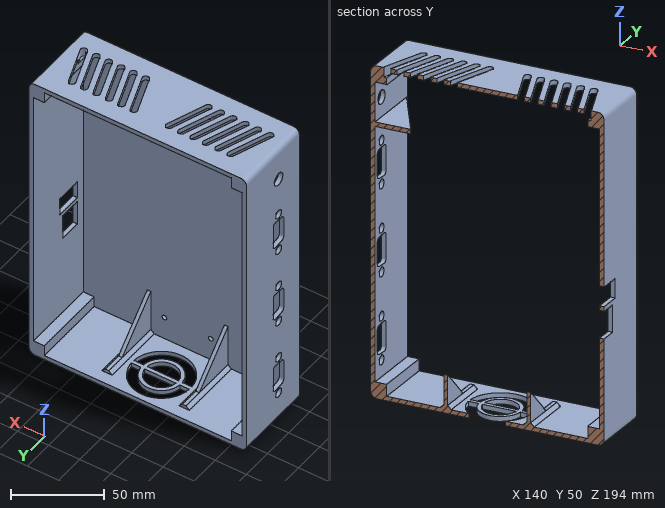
import cadquery as cq

WIDTH = 140.0
DEPTH = 50.0
HEIGHT = 194.0
WALL = 3.0
CORNER_RADIUS = 4.0
INNER_RADIUS = CORNER_RADIUS - WALL
CUT = 3 * WALL

LEFT_WALL_X = -(WIDTH - WALL) / 2
RIGHT_WALL_X = -LEFT_WALL_X
FRONT_WALL_Y = -(DEPTH - WALL) / 2
TOP_WALL_Z = (HEIGHT - WALL) / 2
BOTTOM_WALL_Z = -TOP_WALL_Z
INNER_X = WIDTH / 2 - WALL
INNER_FRONT_Y = -DEPTH / 2 + WALL
FLOOR_Z = -HEIGHT / 2 + WALL

MOUNT_HOLE_DIAMETER = 3.0
MOUNT_SPACING_X = 29.9
MOUNT_SPACING_Z = 158.3

VENT_WIDTH = 4.0
VENT_LENGTH = 29.7
VENT_TILT = 20.0
VENT_COUNT = 6
VENT_PITCH = 8.0
INNER_VENT_X = 15.7

CONNECTOR_Y = -5.2
CONNECTOR_PITCH = 51.2
MIDDLE_CONNECTOR_Z = -13.4
CONNECTOR_DEPTH = 9.9
CONNECTOR_LONG_SIDE = 18.0
CONNECTOR_SHORT_SIDE = 16.5
CONNECTOR_BACK_RADIUS = 1.7
CONNECTOR_FRONT_RADIUS = 2.5
SCREW_DIAMETER = 5.5
SCREW_SPACING = 25.5
JACK_DIAMETER = 8.0
JACK_Z = 75.7

PORT_BAR = 3.0
PORT_BAR_Z = -16.9
PORT_FRONT_Y = -16.5
UPPER_PORT_HEIGHT = 11.3
UPPER_PORT_DEPTH = 16.5
LOWER_PORT_HEIGHT = 16.0
LOWER_PORT_DEPTH = 13.5

FAN_Y = 2.5
FAN_DIAMETER = 37.2
GUARD_WIDTH = 2.5
GUARD_RING_DIAMETER = 25.2

GUSSET_X = 24.8
GUSSET_THICKNESS = 2.3
GUSSET_LEG = 27.2
FOOT_WIDTH = 6.5
FOOT_HEIGHT = (FOOT_WIDTH - GUSSET_THICKNESS) / 2
FOOT_LENGTH = 39.8

POST_INNER_X = 60.1
POST_SIZE = INNER_X - POST_INNER_X

SHELF_TOP_Z = 64.2
SHELF_THICKNESS = 3.0
SHELF_LENGTH_X = 27.0
SHELF_LENGTH_Y = 46.0


def make_shell():
    outer = cq.Workplane("XY").box(WIDTH, DEPTH, HEIGHT).edges("|Y").fillet(CORNER_RADIUS)
    cavity = (
        cq.Workplane("XY")
        .box(2 * INNER_X, DEPTH, HEIGHT - 2 * WALL)
        .edges("|Y")
        .fillet(INNER_RADIUS)
        .translate((0, WALL, 0))
    )
    return outer.cut(cavity)


def make_corner_posts():
    overlap = WALL / 2
    side = POST_SIZE + overlap
    spacing_x = 2 * POST_INNER_X + side
    spacing_z = -2 * (FLOOR_Z + POST_SIZE) + side
    return (
        cq.Workplane("XZ", origin=(0, INNER_FRONT_Y, 0))
        .rarray(spacing_x, spacing_z, 2, 2)
        .rect(side, side)
        .extrude(INNER_FRONT_Y - DEPTH / 2)
    )


def make_gusset(x):
    web = (
        cq.Workplane("YZ", origin=(x, INNER_FRONT_Y, FLOOR_Z))
        .polyline([(0, 0), (GUSSET_LEG + FOOT_HEIGHT, 0), (0, GUSSET_LEG + FOOT_HEIGHT)])
        .close()
        .extrude(GUSSET_THICKNESS / 2, both=True)
    )
    foot = (
        cq.Workplane("XZ", origin=(x, INNER_FRONT_Y, FLOOR_Z))
        .polyline(
            [
                (-FOOT_WIDTH / 2, 0),
                (FOOT_WIDTH / 2, 0),
                (GUSSET_THICKNESS / 2, FOOT_HEIGHT),
                (-GUSSET_THICKNESS / 2, FOOT_HEIGHT),
            ]
        )
        .close()
        .extrude(-FOOT_LENGTH)
    )
    return web.union(foot)


def make_shelf():
    return (
        cq.Workplane("XY", origin=(-INNER_X, INNER_FRONT_Y, SHELF_TOP_Z))
        .polyline([(0, 0), (SHELF_LENGTH_X, 0), (0, SHELF_LENGTH_Y)])
        .close()
        .extrude(-SHELF_THICKNESS)
    )


def make_mount_holes():
    return (
        cq.Workplane("XZ", origin=(0, FRONT_WALL_Y, 0))
        .rarray(MOUNT_SPACING_X, MOUNT_SPACING_Z, 2, 2)
        .circle(MOUNT_HOLE_DIAMETER / 2)
        .extrude(CUT / 2, both=True)
    )


def make_vents(side):
    """One group of vents; side is -1 for the -X group and 1 for the +X group."""
    positions = [(side * (INNER_VENT_X + i * VENT_PITCH), 0) for i in range(VENT_COUNT)]
    return (
        cq.Workplane("XY", origin=(0, 0, TOP_WALL_Z))
        .pushPoints(positions)
        .slot2D(VENT_LENGTH, VENT_WIDTH, 90 + side * VENT_TILT)
        .extrude(CUT / 2, both=True)
    )


def make_connector(z):
    """D-shaped cut-out, wider towards +Y, with a screw hole above and below."""
    half_depth = CONNECTOR_DEPTH / 2
    half_long = CONNECTOR_LONG_SIDE / 2
    half_short = CONNECTOR_SHORT_SIDE / 2
    plane = cq.Workplane("YZ", origin=(LEFT_WALL_X, CONNECTOR_Y, z))
    window = (
        plane.polyline(
            [
                (-half_depth, -half_short),
                (half_depth, -half_long),
                (half_depth, half_long),
                (-half_depth, half_short),
            ]
        )
        .close()
        .extrude(CUT / 2, both=True)
    )
    window = window.edges("|X and >Y").fillet(CONNECTOR_BACK_RADIUS)
    window = window.edges("|X and <Y").fillet(CONNECTOR_FRONT_RADIUS)
    screws = (
        plane.rarray(2, SCREW_SPACING, 1, 2)
        .circle(SCREW_DIAMETER / 2)
        .extrude(CUT / 2, both=True)
    )
    return window.union(screws)


def make_jack_hole():
    return (
        cq.Workplane("YZ", origin=(LEFT_WALL_X, CONNECTOR_Y, JACK_Z))
        .circle(JACK_DIAMETER / 2)
        .extrude(CUT / 2, both=True)
    )


def make_ports():
    upper_z = PORT_BAR_Z + (PORT_BAR + UPPER_PORT_HEIGHT) / 2
    lower_z = PORT_BAR_Z - (PORT_BAR + LOWER_PORT_HEIGHT) / 2
    upper = cq.Workplane("XY").box(CUT, UPPER_PORT_DEPTH, UPPER_PORT_HEIGHT)
    lower = cq.Workplane("XY").box(CUT, LOWER_PORT_DEPTH, LOWER_PORT_HEIGHT)
    upper = upper.translate((RIGHT_WALL_X, PORT_FRONT_Y + UPPER_PORT_DEPTH / 2, upper_z))
    lower = lower.translate((RIGHT_WALL_X, PORT_FRONT_Y + LOWER_PORT_DEPTH / 2, lower_z))
    return upper.union(lower)


def make_fan_opening():
    plane = cq.Workplane("XY", origin=(0, FAN_Y, BOTTOM_WALL_Z))
    opening = plane.circle(FAN_DIAMETER / 2).extrude(CUT / 2, both=True)
    ring = (
        plane.circle(GUARD_RING_DIAMETER / 2)
        .circle(GUARD_RING_DIAMETER / 2 - GUARD_WIDTH)
        .extrude(CUT / 2, both=True)
    )
    bar = plane.rect(FAN_DIAMETER, GUARD_WIDTH).extrude(CUT / 2, both=True)
    return opening.cut(ring).cut(bar)


result = make_shell().union(make_corner_posts()).union(make_shelf())
for side in (-1, 1):
    result = result.union(make_gusset(side * GUSSET_X))

result = result.cut(make_mount_holes())
for side in (-1, 1):
    result = result.cut(make_vents(side))
for step in (-1, 0, 1):
    result = result.cut(make_connector(MIDDLE_CONNECTOR_Z + step * CONNECTOR_PITCH))
result = result.cut(make_jack_hole()).cut(make_ports()).cut(make_fan_opening())